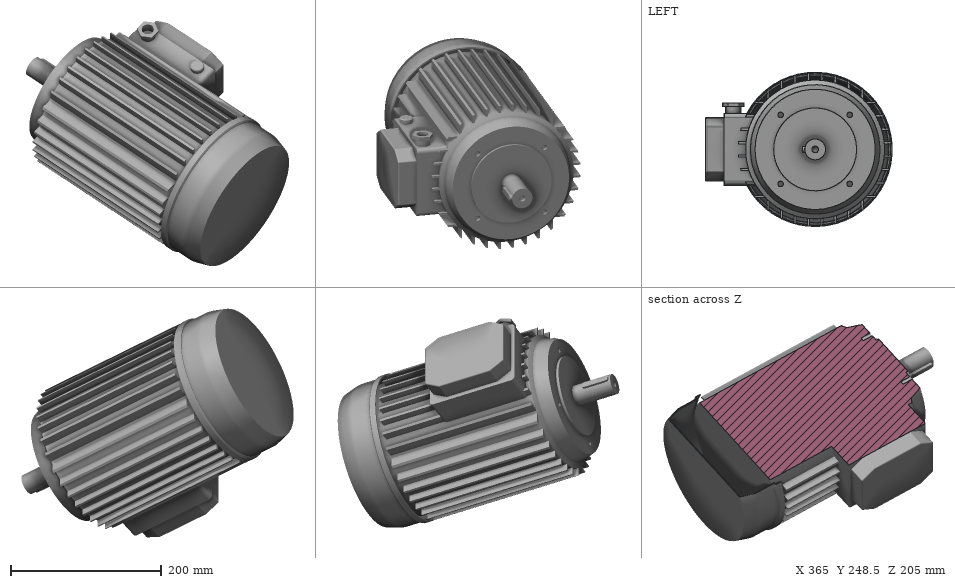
import cadquery as cq
import math

MOTOR_LENGTH = 365.0

SHAFT_RADIUS = 14.0
SHAFT_LENGTH = 56.2
CENTRE_HOLE_RADIUS = 4.5
CENTRE_HOLE_DEPTH = 14.5
DRILL_TIP_HEIGHT = 2.5
KEY_START = 2.2
KEY_LENGTH = 39.0
KEY_WIDTH = 8.0
KEY_TOP = 16.8
KEY_HEIGHT = 7.0

FLANGE_FACE = 60.0
SPIGOT_RADIUS = 55.0
FLANGE_FACE_RADIUS = 80.0
FLANGE_BACK = 79.2
FLANGE_BACK_RADIUS = 86.0
BOLT_CIRCLE_RADIUS = 65.0
BOLT_HOLE_RADIUS = 3.5
BOLT_HOLE_DEPTH = 14.5

BARREL_START = 83.5
BARREL_RADIUS = 92.5
FIN_END = 299.3
FIN_TIP_RADIUS = 102.2
FIN_PITCH = 18.0
FIN_THICKNESS = 3.0
FINS_PER_SIDE = 8

RING_START = 304.8
RING_END = 314.5
RING_RADIUS = 102.5
RING_CHAMFER = 2.0
COVER_RADIUS = 99.5
COVER_BEND_START = 341.3
COVER_BEND_END = 346.8
COVER_TAPER_ANGLE = 17.0
COVER_WALL = 2.0

BOX_CENTRE_X = 152.0
BOX_LENGTH = 125.5
BOX_WIDTH = 95.5
BOX_TOP = 121.0
BOX_CORNER_RADIUS = 5.5
LID_TOP = 146.0
LID_LENGTH = 116.0
LID_WIDTH = 84.5
LID_CORNER_LENGTH = 20.5
LID_CORNER_WIDTH = 11.5
LID_EDGE_RADIUS = 2.0

FITTING_Y = 108.8
GLAND_X = 109.0
GLAND_STEM_RADIUS = 10.2
GLAND_HOLE_RADIUS = 8.0
GLAND_HOLE_DEPTH = 14.0
HEX_ACROSS_FLATS = 25.0
HEX_BOTTOM = 57.0
HEX_TOP = 62.0
PLUG_X = 194.0
PLUG_RADIUS = 9.0
PLUG_HEIGHT = 6.5
PLUG_CHAMFER = 1.0

BOX_WALL_Z = BOX_WIDTH / 2


def cylinder_x(start, end, radius):
    """Cylinder on the motor axis between two X positions."""
    return cq.Workplane("YZ", origin=(start, 0, 0)).circle(radius).extrude(end - start)


def make_barrel():
    """Drive-end flange and barrel as one turned profile."""
    profile = (
        cq.Workplane("XY")
        .moveTo(SHAFT_LENGTH, 0)
        .lineTo(SHAFT_LENGTH, SPIGOT_RADIUS)
        .lineTo(FLANGE_FACE, SPIGOT_RADIUS)
        .lineTo(FLANGE_FACE, FLANGE_FACE_RADIUS)
        .lineTo(FLANGE_BACK, FLANGE_BACK_RADIUS)
        .lineTo(BARREL_START, BARREL_RADIUS)
        .lineTo(RING_END, BARREL_RADIUS)
        .lineTo(RING_END, 0)
        .close()
    )
    return profile.revolve(360, (0, 0, 0), (1, 0, 0))


def make_fins():
    """Parallel fins standing on all four sides of the barrel, trimmed to a common tip circle."""
    last = (FINS_PER_SIDE - 1) / 2
    span = 2 * FIN_TIP_RADIUS
    fins = cq.Workplane("XY")
    for index in range(FINS_PER_SIDE):
        offset = (index - last) * FIN_PITCH
        blank = cq.Workplane("XY").box(FIN_END - BARREL_START, span, FIN_THICKNESS)
        blank = blank.translate(((BARREL_START + FIN_END) / 2, 0, offset))
        fins = fins.add(blank).add(blank.rotate((0, 0, 0), (1, 0, 0), 90))
    tip_cylinder = cylinder_x(BARREL_START, FIN_END, FIN_TIP_RADIUS)
    return fins.combine().intersect(tip_cylinder)


def make_terminal_box():
    """Box with rounded corners, rising from inside the barrel, under its lid."""
    body = cq.Workplane("XY").box(BOX_LENGTH, BOX_TOP, BOX_WIDTH).edges("|Y").fillet(BOX_CORNER_RADIUS)
    body = body.translate((BOX_CENTRE_X, BOX_TOP / 2, 0))
    return body.union(make_lid())


def make_lid():
    """Lid with cut-off corners and softened edges."""
    half_length = LID_LENGTH / 2
    half_width = LID_WIDTH / 2
    flat_length = half_length - LID_CORNER_LENGTH
    flat_width = half_width - LID_CORNER_WIDTH
    outline = [
        (-half_length, -flat_width),
        (-flat_length, -half_width),
        (flat_length, -half_width),
        (half_length, -flat_width),
        (half_length, flat_width),
        (flat_length, half_width),
        (-flat_length, half_width),
        (-half_length, flat_width),
    ]
    lid = (
        cq.Workplane("XZ", origin=(BOX_CENTRE_X, BOX_TOP, 0))
        .polyline(outline)
        .close()
        .extrude(BOX_TOP - LID_TOP)
    )
    return lid.edges("|Y").fillet(LID_EDGE_RADIUS).faces(">Y").edges().fillet(LID_EDGE_RADIUS)


def make_gland():
    """Hexagon-headed gland standing on the box wall; the hexagon has flats facing X."""
    stem = (
        cq.Workplane("XY", origin=(GLAND_X, FITTING_Y, BOX_WALL_Z))
        .circle(GLAND_STEM_RADIUS)
        .extrude(HEX_BOTTOM - BOX_WALL_Z)
    )
    across_corners = HEX_ACROSS_FLATS / math.cos(math.radians(30))
    head = (
        cq.Workplane("XY", origin=(GLAND_X, FITTING_Y, HEX_BOTTOM))
        .transformed(rotate=(0, 0, 90))
        .polygon(6, across_corners)
        .extrude(HEX_TOP - HEX_BOTTOM)
    )
    return stem.union(head).faces(">Z").workplane().hole(2 * GLAND_HOLE_RADIUS, GLAND_HOLE_DEPTH)


def make_plug():
    """Round blanking plug with a chamfered rim."""
    plug = (
        cq.Workplane("XY", origin=(PLUG_X, FITTING_Y, BOX_WALL_Z))
        .circle(PLUG_RADIUS)
        .extrude(PLUG_HEIGHT)
    )
    return plug.faces(">Z").edges().chamfer(PLUG_CHAMFER)


def make_bolt_holes():
    """Four blind holes in the flange face, on the diagonals."""
    return (
        cq.Workplane("YZ", origin=(FLANGE_FACE, 0, 0))
        .polarArray(BOLT_CIRCLE_RADIUS, 45, 360, 4)
        .circle(BOLT_HOLE_RADIUS)
        .extrude(BOLT_HOLE_DEPTH)
    )


def make_key():
    """Round-ended parallel key on the +Y side of the shaft."""
    return (
        cq.Workplane("XZ", origin=(KEY_START + KEY_LENGTH / 2, KEY_TOP, 0))
        .slot2D(KEY_LENGTH, KEY_WIDTH)
        .extrude(KEY_HEIGHT)
    )


def make_shaft():
    """Shaft end with a drilled centre hole and a keyway that fits the key."""
    drill = (
        cq.Workplane("XY")
        .lineTo(0, CENTRE_HOLE_RADIUS)
        .lineTo(CENTRE_HOLE_DEPTH, CENTRE_HOLE_RADIUS)
        .lineTo(CENTRE_HOLE_DEPTH + DRILL_TIP_HEIGHT, 0)
        .close()
        .revolve(360, (0, 0, 0), (1, 0, 0))
    )
    return cylinder_x(0, SHAFT_LENGTH, SHAFT_RADIUS).cut(drill).cut(make_key())


def make_housing():
    """Motor body: barrel, fins, shaft end and terminal box with its fittings."""
    housing = make_barrel().union(make_fins()).union(make_terminal_box())
    housing = housing.union(make_gland()).union(make_plug()).union(make_shaft())
    return housing.cut(make_bolt_holes())


def cover_blank(start, end, radius):
    """Solid of revolution with a straight wall bending into a tapered rear end."""
    taper = math.radians(COVER_TAPER_ANGLE)
    bend_radius = (COVER_BEND_END - COVER_BEND_START) / math.sin(taper)
    bend_mid_x = COVER_BEND_START + bend_radius * math.sin(taper / 2)
    bend_mid_radius = radius - bend_radius * (1 - math.cos(taper / 2))
    bend_end_radius = radius - bend_radius * (1 - math.cos(taper))
    rear_radius = bend_end_radius - (end - COVER_BEND_END) * math.tan(taper)
    profile = (
        cq.Workplane("XY")
        .moveTo(start, 0)
        .lineTo(start, radius)
        .lineTo(COVER_BEND_START, radius)
        .threePointArc((bend_mid_x, bend_mid_radius), (COVER_BEND_END, bend_end_radius))
        .lineTo(end, rear_radius)
        .lineTo(end, 0)
        .close()
    )
    return profile.revolve(360, (0, 0, 0), (1, 0, 0))


def make_fan_cover():
    """Thin cup, open towards the barrel, with a clear gap around the end of the barrel."""
    ring = cylinder_x(RING_START, RING_END, RING_RADIUS).faces(">X").edges().chamfer(RING_CHAMFER)
    ring_bore = cylinder_x(RING_START, RING_END - COVER_WALL, RING_RADIUS - COVER_WALL)
    shell = cover_blank(RING_START, MOTOR_LENGTH, COVER_RADIUS).union(ring)
    cavity = cover_blank(RING_START, MOTOR_LENGTH - COVER_WALL, COVER_RADIUS - COVER_WALL)
    return shell.cut(cavity).cut(ring_bore)


housing = make_housing()
fan_cover = make_fan_cover()
key = make_key()

result = cq.Compound.makeCompound([housing.val(), fan_cover.val(), key.val()])